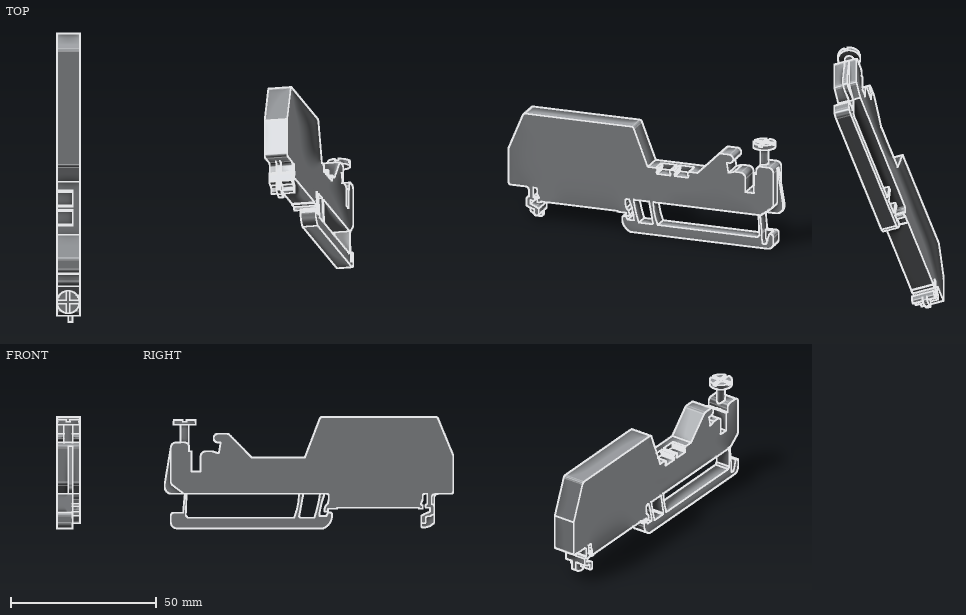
import cadquery as cq
import math


width = 8.0
length = 99.13
height = 38.35

rail_width = 5.4
web_thickness = 1.55
web_start = rail_width - web_thickness

underside_z = 11.85
root_z = underside_z + 1.0
deck_z = 24.45
back_corner_radius = 0.9

dome_back_y = 93.65
dome_front_y = 53.45
dome_back_foot_z = 25.1
dome_front_foot_y = 48.12
dome_radius = 1.0

hook_z = 32.55
hook_ramp_foot_y = 29.9
hook_ramp_top_y = 21.9
hook_ramp_radius = 1.2
hook_tip_y = 16.8
hook_throat_z = 29.5
hook_tip_radius = 0.49 * (hook_z - hook_throat_z)
hook_throat_y = 19.2
hook_seat_y = 18.55
hook_seat_z = 25.85

step_z = 26.55
step_ramp_y = 16.4
step_radius = 1.9
slot_back_y = 12.3
slot_front_y = 9.27
slot_floor_z = 19.6

tower_back_y = 8.43
tower_front_y = 2.15
tower_z = 29.55
tower_back_radius = 1.6
tower_front_radius = 1.75
tower_cut_z = 15.3
tower_cut_radius = 1.4
tower_cut_y = 6.7

foot_z = 7.05
seat_pad_z = 6.75
back_pad_length = 1.35
front_pad_back_y = 59.2
foot_back_y = 88.65
foot_front_y = 56.3
notch_depth = 0.6
notch_top_z = 10.0
notch_mid_z = 8.5
notch_low_z = 7.95
slot_round = 0.6
slot_flare = 0.7

nub_back_y = 56.1
nub_tip_y = 54.82
nub_neck_y = 56.0
nub_neck_z = 8.55
nub_shoulder_y = 55.15
nub_shoulder_z = 7.65
nub_tip_z = 6.6
nub_low_z = 5.72
nub_radius = 0.45

clip_outer_y = 92.6
clip_neck_y = 91.65
clip_slot_y = 90.12
clip_catch_y = 89.55
clip_throat_y = 91.05
clip_tip_y = 88.07
clip_tip_back_y = 89.65
neck_round = 1.2
neck_low_z = 8.25
neck_step = 0.45
neck_foot_z = 7.6
catch_top_z = 8.5
catch_round = 0.45
throat_low_z = 5.8
clip_knee_z = 5.0
clip_shelf_y = 90.9
clip_shelf_z = 4.15
clip_nose_y = 89.3
clip_nose_z = 5.1
clip_tip_top_z = 4.35
clip_tip_low_z = 1.75
clip_tip_radius = 0.6
web_heel_z = 1.9
web_heel_y = 91.1
web_heel_low_z = 0.8
web_toe_y = 89.4
web_toe_z = 0.3

rail_top_z = 3.77
rail_front_y = 2.1
rail_front_radius = 2.1
rail_front_top_radius = 1.0
rail_front_z = 5.45
rail_hook_y = 57.5
rail_hook_z = 5.5
rail_hook_chamfer = 0.4
rail_hook_low_z = 4.0
rail_hook_mouth_y = 56.1
rail_heel_y = 54.4
rail_heel_mid_y = 56.5
rail_heel_mid_z = 1.55
rail_pocket_z = 4.35
rail_pocket_y = 55.5

back_strut_top_y = 54.9
back_strut_front_y = 53.3
back_strut_elbow_y = 53.9
back_strut_elbow_z = 8.7
back_strut_foot_y = 53.25
back_strut_base_y = 51.4
back_strut_bow_y = 52.72

middle_strut_back_y = 47.65
middle_strut_front_y = 46.1
middle_strut_base_back_y = 46.2
middle_strut_base_front_y = 44.45
middle_strut_bow_y = 45.6
middle_strut_bow_z = 7.5

front_strut_back_y = 7.6
front_strut_front_y = 6.9
front_strut_base_y = 7.3
front_strut_root_y = 6.35
front_strut_kink_z = 6.0
root_chamfer = 0.35

vee_back_y = 6.2
vee_front_y = 4.8
vee_top_y = 3.6
vee_floor_z = 1.6
vee_radius = 0.55

web_top_z = 28.2
web_nose_z = 15.4
web_nose_radius = 2.5

pocket_count = 2
pocket_pitch = 6.58
pocket_center_y = 42.37
pocket_mouth = 5.6
pocket_waist = 4.5
pocket_bulge = 5.1
pocket_floor_width = 4.85
pocket_floor_z = 22.3
pocket_bulge_z = 22.9
pocket_waist_z = 23.5
pocket_lip_z = 24.0

screw_x = 3.9
screw_y = 6.86
shank_diameter = 2.95
head_diameter = 7.7
head_top_z = 37.3
head_height = 1.75
drive_width = 1.2
drive_depth = 0.6
screw_end_z = step_z


def rounded_outline(corners):
    """Closed YZ wire through (y, z) or (y, z, radius) corners; a radius rounds that corner."""
    path = cq.Workplane("YZ")
    started = False
    for index, corner in enumerate(corners):
        here = cq.Vector(corner[0], corner[1])
        radius = corner[2] if len(corner) > 2 else 0
        if radius:
            before = corners[index - 1]
            after = corners[(index + 1) % len(corners)]
            to_before = (cq.Vector(before[0], before[1]) - here).normalized()
            to_after = (cq.Vector(after[0], after[1]) - here).normalized()
            half_angle = to_before.getAngle(to_after) / 2
            setback = radius / math.tan(half_angle)
            bisector = (to_before + to_after).normalized()
            start = here + to_before * setback
            middle = here + bisector * (radius / math.sin(half_angle) - radius)
            end = here + to_after * setback
        else:
            start = here
        path = path.lineTo(start.x, start.y) if started else path.moveTo(start.x, start.y)
        started = True
        if radius:
            path = path.threePointArc((middle.x, middle.y), (end.x, end.y))
    return path.close()


def plate(corners, start_x, end_x):
    """Plate with the given rounded YZ outline, between two X positions."""
    return rounded_outline(corners).extrude(end_x - start_x).translate((start_x, 0, 0))


def make_shell():
    """Full-width housing: dome, deck, hook, slot and screw tower."""
    return plate(
        [
            (length, underside_z, back_corner_radius),
            (length, dome_back_foot_z),
            (dome_back_y, height, dome_radius),
            (dome_front_y, height, dome_radius),
            (dome_front_foot_y, deck_z),
            (hook_ramp_foot_y, deck_z),
            (hook_ramp_top_y, hook_z, hook_ramp_radius),
            (hook_tip_y, hook_z, hook_tip_radius),
            (hook_tip_y, hook_throat_z, hook_tip_radius),
            (hook_throat_y, hook_throat_z),
            (hook_seat_y, hook_seat_z),
            (step_ramp_y, step_z),
            (slot_back_y, step_z, step_radius),
            (slot_back_y, slot_floor_z),
            (slot_front_y, slot_floor_z),
            (slot_front_y, step_z),
            (tower_back_y, step_z),
            (tower_back_y, tower_z, tower_back_radius),
            (tower_front_y, tower_z, tower_front_radius),
            (tower_front_y, tower_cut_z, tower_cut_radius),
            (tower_cut_y, underside_z),
        ],
        0,
        width,
    )


def make_foot():
    """Full-width block under the dome that rests on the mounting rail."""
    return plate(
        [
            (foot_back_y + slot_flare, root_z),
            (foot_back_y + slot_flare, underside_z),
            (foot_back_y, underside_z, slot_round),
            (foot_back_y, notch_top_z),
            (foot_back_y - notch_depth, notch_mid_z),
            (foot_back_y - notch_depth, notch_low_z + notch_depth / 2),
            (foot_back_y, notch_low_z),
            (foot_back_y, seat_pad_z),
            (foot_back_y - back_pad_length, seat_pad_z),
            (foot_back_y - back_pad_length, foot_z),
            (front_pad_back_y, foot_z),
            (front_pad_back_y, seat_pad_z),
            (nub_back_y, seat_pad_z),
            (nub_back_y, nub_low_z, nub_radius),
            (nub_tip_y, nub_low_z, nub_radius),
            (nub_tip_y, nub_tip_z),
            (nub_shoulder_y, nub_shoulder_z),
            (nub_neck_y, nub_neck_z),
            (foot_front_y, notch_top_z),
            (foot_front_y, underside_z, slot_round),
            (foot_front_y - slot_flare, underside_z),
            (foot_front_y - slot_flare, root_z),
        ],
        0,
        width,
    )


def make_back_clip():
    """Full-width spring clip behind the foot, with its middle web."""
    clip = plate(
        [
            (clip_outer_y + 2 * neck_round, root_z),
            (clip_outer_y + 2 * neck_round, underside_z),
            (clip_neck_y, underside_z, neck_round),
            (clip_neck_y, neck_low_z),
            (clip_neck_y + neck_step, neck_low_z),
            (clip_outer_y, neck_foot_z),
            (clip_outer_y, clip_knee_z),
            (clip_shelf_y, clip_shelf_z),
            (clip_tip_back_y, clip_shelf_z, clip_tip_radius),
            (clip_tip_back_y, clip_tip_low_z, clip_tip_radius),
            (clip_tip_y, clip_tip_low_z, clip_tip_radius),
            (clip_tip_y, clip_tip_top_z),
            (clip_nose_y, clip_nose_z),
            (clip_throat_y, throat_low_z),
            (clip_throat_y, foot_z),
            (clip_catch_y, foot_z, catch_round),
            (clip_catch_y, catch_top_z - catch_round),
            (clip_slot_y, catch_top_z),
            (clip_slot_y, root_z),
        ],
        0,
        width,
    )
    web = plate(
        [
            (clip_outer_y + 2 * neck_round, root_z),
            (clip_outer_y + 2 * neck_round, underside_z),
            (clip_outer_y, underside_z, neck_round),
            (clip_outer_y, web_heel_z),
            (web_heel_y, web_heel_low_z),
            (web_toe_y, web_toe_z),
            (clip_tip_y, web_toe_z, clip_tip_radius),
            (clip_tip_y, clip_shelf_z),
            (clip_shelf_y, clip_shelf_z),
            (clip_neck_y, clip_knee_z),
            (clip_slot_y, root_z),
        ],
        web_start,
        rail_width,
    )
    return clip.union(web)


def make_bottom_rail():
    """Flat rail whose rounded back end hooks up under the foot."""
    return (
        cq.Workplane("YZ")
        .moveTo(rail_heel_y, 0)
        .threePointArc((rail_heel_mid_y, rail_heel_mid_z), (rail_hook_y, rail_hook_low_z))
        .lineTo(rail_hook_y, rail_hook_z - rail_hook_chamfer)
        .lineTo(rail_hook_y - rail_hook_chamfer, rail_hook_z)
        .lineTo(rail_hook_mouth_y, rail_hook_z)
        .lineTo(rail_pocket_y, rail_pocket_z)
        .lineTo(back_strut_foot_y, rail_pocket_z)
        .lineTo(back_strut_base_y, rail_top_z)
        .lineTo(front_strut_root_y, rail_top_z)
        .lineTo(front_strut_root_y, 0)
        .close()
        .extrude(rail_width)
    )


def make_rail_end():
    """Front end of the rail: an upstanding lip behind a V groove that the web closes."""
    lip = plate(
        [
            (front_strut_root_y, 0),
            (rail_front_y, 0, rail_front_radius),
            (rail_front_y, rail_front_z, rail_front_top_radius),
            (front_strut_root_y, rail_front_z),
        ],
        0,
        rail_width,
    )
    groove = plate(
        [
            (front_strut_root_y, rail_front_z),
            (vee_back_y, vee_floor_z, vee_radius),
            (vee_front_y, vee_floor_z, vee_radius),
            (vee_top_y, rail_front_z),
        ],
        0,
        web_start,
    )
    return lip.cut(groove)


def make_struts():
    """Three leaning struts that carry the rail below the housing."""
    back = (
        cq.Workplane("YZ")
        .moveTo(back_strut_top_y, underside_z)
        .lineTo(back_strut_elbow_y, back_strut_elbow_z)
        .lineTo(back_strut_foot_y, rail_hook_z)
        .lineTo(back_strut_foot_y, rail_pocket_z)
        .lineTo(back_strut_base_y, rail_top_z)
        .threePointArc((back_strut_bow_y, back_strut_elbow_z), (back_strut_front_y, underside_z))
        .close()
        .extrude(rail_width)
    )
    middle = (
        cq.Workplane("YZ")
        .moveTo(middle_strut_back_y, underside_z)
        .lineTo(middle_strut_base_back_y, rail_top_z + root_chamfer)
        .lineTo(middle_strut_base_back_y + root_chamfer, rail_top_z)
        .lineTo(middle_strut_base_front_y, rail_top_z)
        .threePointArc((middle_strut_bow_y, middle_strut_bow_z), (middle_strut_front_y, underside_z))
        .close()
        .extrude(rail_width)
    )
    front = plate(
        [
            (front_strut_back_y, underside_z),
            (front_strut_base_y, rail_top_z + 2 * root_chamfer),
            (front_strut_base_y + 2 * root_chamfer, rail_top_z),
            (front_strut_root_y, rail_top_z),
            (front_strut_root_y, front_strut_kink_z),
            (front_strut_front_y, underside_z),
        ],
        0,
        rail_width,
    )
    return back.union(middle).union(front)


def make_front_web():
    """Thin web that slopes out in front of the screw tower to the front tip."""
    return plate(
        [
            (tower_front_y, web_top_z),
            (tower_cut_y, web_top_z),
            (tower_cut_y, underside_z),
            (0, underside_z, web_nose_radius),
            (0, web_nose_z),
        ],
        web_start,
        rail_width,
    )


def make_label_pocket(center_y):
    """Label pocket, open to the deck and to the X = 0 face, with waisted side walls."""
    levels = [
        (pocket_mouth, deck_z),
        (pocket_waist, pocket_lip_z),
        (pocket_waist, pocket_waist_z),
        (pocket_bulge, pocket_bulge_z),
        (pocket_floor_width, pocket_floor_z),
    ]
    back_side = [(center_y + span / 2, z) for span, z in levels]
    front_side = [(center_y - span / 2, z) for span, z in reversed(levels)]
    return plate(back_side + front_side, 0, rail_width)


def make_screw_shank():
    """Plain round shank of the screw, also the shape of its hole in the tower."""
    return (
        cq.Workplane("XY", origin=(screw_x, screw_y, screw_end_z))
        .circle(shank_diameter / 2)
        .extrude(head_top_z - head_height - screw_end_z)
    )


def make_housing():
    """One-piece housing with clip, struts and rail."""
    body = make_shell()
    for piece in (
        make_foot(),
        make_back_clip(),
        make_struts(),
        make_bottom_rail(),
        make_rail_end(),
        make_front_web(),
    ):
        body = body.union(piece)
    for number in range(pocket_count):
        body = body.cut(make_label_pocket(pocket_center_y - number * pocket_pitch))
    return body.cut(make_screw_shank())


def make_screw():
    """Flat-head screw with a cross drive."""
    head_plane = cq.Workplane("XY", origin=(screw_x, screw_y, head_top_z))
    head = head_plane.circle(head_diameter / 2).extrude(-head_height)
    drive = (
        head_plane
        .rect(head_diameter, drive_width)
        .extrude(-drive_depth)
        .union(head_plane.rect(drive_width, head_diameter).extrude(-drive_depth))
    )
    return make_screw_shank().union(head).cut(drive)


housing = make_housing()
screw = make_screw()

result = cq.Compound.makeCompound([housing.val(), screw.val()])